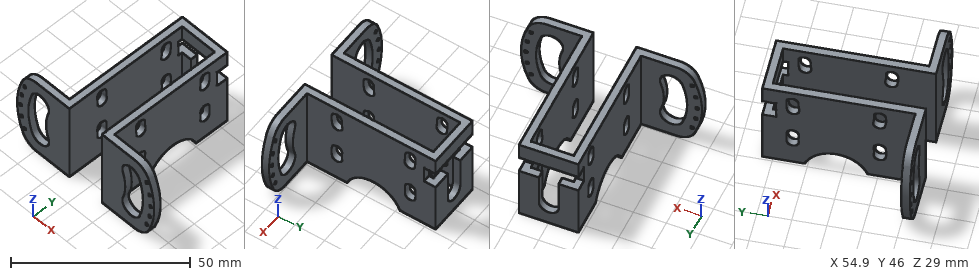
import cadquery as cq
import math


DEPTH = 46.0
HEIGHT = 29.0
CHANNEL_WIDTH = 18.0
GAP_WIDTH = 13.0
WALL = (CHANNEL_WIDTH - GAP_WIDTH) / 2
BOTTOM_Z = -HEIGHT / 2

END_RADIUS = 27.45
CORNER_RADIUS = 6.0
FLANGE_SLOT_RADIUS = 19.4
FLANGE_SLOT_WIDTH = 7.05
FLANGE_SLOT_HALF_ANGLE = 20.0
PIN_CIRCLE_RADIUS = 25.95
PIN_DIAMETER = 1.0
PIN_ANGLES = (-20, -10, 0, 10, 20)

NOTCH_DEPTH = 3.95
NOTCH_HEIGHT = 5.6
NOTCH_BOTTOM_Z = BOTTOM_Z + 17.9
BACK_SLOT_WIDTH = 6.0
BACK_SLOT_BOTTOM_Z = BOTTOM_Z + 4.5

SIDE_CENTRE_Y = 25.0
SIDE_SLOT_RADIUS = 12.45
SIDE_SLOT_WIDTH = 3.45
SIDE_SLOT_HALF_ANGLE = 6.7
UPPER_SLOT_TILT = -4.0
LOWER_ARC_CENTRE_Z = BOTTOM_Z + 10.05
UPPER_ARC_CENTRE_Z = BOTTOM_Z + 24.3
RELIEF_RADIUS = 9.5
RELIEF_CENTRE_DROP = 3.3


def polar(radius, angle):
    """Point at an angle in degrees on a circle about the origin."""
    return radius * math.cos(math.radians(angle)), radius * math.sin(math.radians(angle))


def arc_slot(plane, radius, width, start, end, length):
    """Round-ended slot along an arc about the plane's origin, extruded length / 2 to each side."""
    inner = radius - width / 2
    outer = radius + width / 2
    middle = (start + end) / 2
    outline = (
        cq.Workplane(plane)
        .moveTo(*polar(inner, start))
        .threePointArc(polar(inner, middle), polar(inner, end))
        .tangentArcPoint(polar(outer, end), relative=False)
        .threePointArc(polar(outer, middle), polar(outer, start))
        .tangentArcPoint(polar(inner, start), relative=False)
        .close()
    )
    return outline.extrude(length / 2, both=True)


def make_flanges():
    """Front plate with arc ends blended into its straight top and bottom edges."""
    disc = cq.Workplane("XZ").circle(END_RADIUS).extrude(-WALL)
    band = cq.Workplane("XZ").rect(2 * END_RADIUS, HEIGHT).extrude(-WALL)
    return disc.intersect(band).edges("|Y").fillet(CORNER_RADIUS)


def make_channel():
    """Open-fronted channel joined to the two flanges."""
    block = cq.Workplane("XY").box(CHANNEL_WIDTH, DEPTH, HEIGHT, centered=(True, False, True))
    gap = cq.Workplane("XY").box(GAP_WIDTH, DEPTH - WALL, HEIGHT, centered=(True, False, True))
    return block.union(make_flanges()).cut(gap)


def cut_flange_openings(body):
    """Arc slot and row of pin holes in each flange."""
    for side_angle in (0, 180):
        slot = arc_slot(
            cq.Plane.named("XZ"),
            FLANGE_SLOT_RADIUS,
            FLANGE_SLOT_WIDTH,
            side_angle - FLANGE_SLOT_HALF_ANGLE,
            side_angle + FLANGE_SLOT_HALF_ANGLE,
            2 * WALL,
        )
        pins = [polar(PIN_CIRCLE_RADIUS, side_angle + angle) for angle in PIN_ANGLES]
        holes = cq.Workplane("XZ").pushPoints(pins).circle(PIN_DIAMETER / 2).extrude(-WALL)
        body = body.cut(slot).cut(holes)
    return body


def cut_back_openings(body):
    """Full-width notch across the back, with a round-bottomed slot below it."""
    notch = (
        cq.Workplane("XY")
        .box(CHANNEL_WIDTH, NOTCH_DEPTH, NOTCH_HEIGHT, centered=(True, False, False))
        .translate((0, DEPTH - NOTCH_DEPTH, NOTCH_BOTTOM_Z))
    )
    half_width = BACK_SLOT_WIDTH / 2
    slot = (
        cq.Workplane("XZ", origin=(0, DEPTH, 0))
        .moveTo(half_width, NOTCH_BOTTOM_Z)
        .lineTo(-half_width, NOTCH_BOTTOM_Z)
        .lineTo(-half_width, BACK_SLOT_BOTTOM_Z + half_width)
        .threePointArc((0, BACK_SLOT_BOTTOM_Z), (half_width, BACK_SLOT_BOTTOM_Z + half_width))
        .close()
        .extrude(WALL)
    )
    return body.cut(notch).cut(slot)


def cut_side_openings(body):
    """Four curved slots and the bottom relief, all through both side walls."""
    for centre_z, tilt in ((LOWER_ARC_CENTRE_Z, 0), (UPPER_ARC_CENTRE_Z, UPPER_SLOT_TILT)):
        plane = cq.Plane.named("YZ", origin=(0, SIDE_CENTRE_Y, centre_z))
        for middle in (tilt, 180 - tilt):
            slot = arc_slot(
                plane,
                SIDE_SLOT_RADIUS,
                SIDE_SLOT_WIDTH,
                middle - SIDE_SLOT_HALF_ANGLE,
                middle + SIDE_SLOT_HALF_ANGLE,
                CHANNEL_WIDTH,
            )
            body = body.cut(slot)
    relief = (
        cq.Workplane("YZ", origin=(0, SIDE_CENTRE_Y, BOTTOM_Z - RELIEF_CENTRE_DROP))
        .circle(RELIEF_RADIUS)
        .extrude(CHANNEL_WIDTH / 2, both=True)
    )
    return body.cut(relief)


result = cut_side_openings(cut_back_openings(cut_flange_openings(make_channel())))